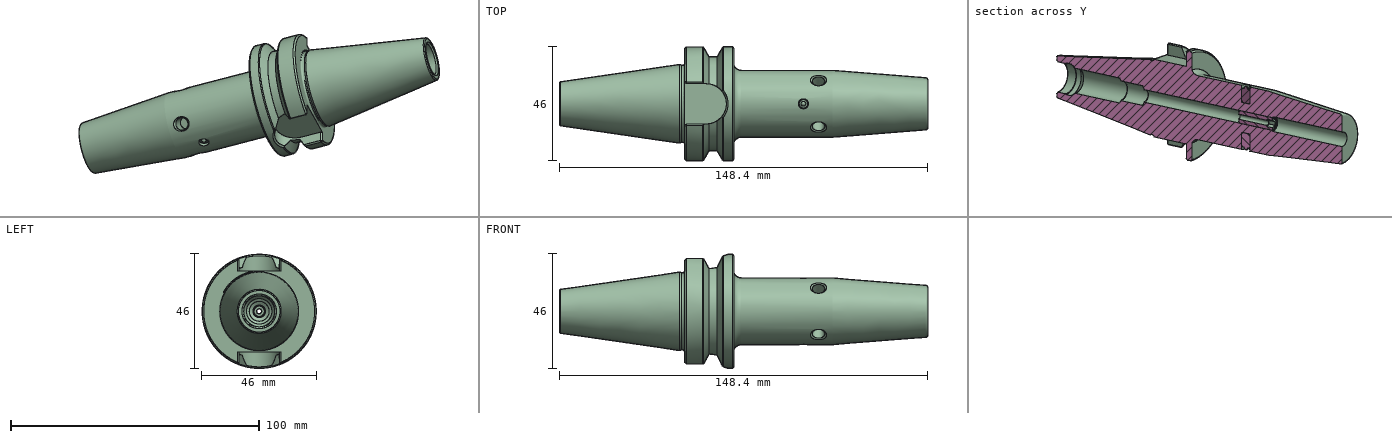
import cadquery as cq
import math

overall_length = 148.4

gauge_position = 48.4
gauge_diameter = 31.8
taper_ratio = 7 / 24
shank_diameter = gauge_diameter - taper_ratio * gauge_position
neck_start = 49.1
neck_diameter = 31.2
neck_fillet = 0.7
shank_chamfer = 0.5

flange_start = 50.5
flange_end = 70.3
flange_diameter = 46.0
flange_chamfer = 0.67
groove_center = 61.9
groove_floor_width = 3.3
groove_floor_diameter = 38.0
groove_flank_angle = 30.0
groove_lip_bevel = 0.3

slot_width = 16.2
slot_floor_height = 16.3
slot_end = 67.2

body_diameter = 27.0
root_height = 1.8
root_length = 3.0
nose_start = 110.0
nose_diameter = 20.9
nose_fillet = 1.0
tool_bore_diameter = 6.0
tool_bore_depth = 36.0

mouth_diameter = 14.0
mouth_depth = 0.6
pilot_diameter = 12.5
relief_diameter = 13.0
relief_start = 4.9
relief_end = 7.4
relief_cone_end = 9.8
thread_diameter = 10.2
thread_end = 32.6
drill_diameter = 8.0
drill_end = 44.5
drill_tip_angle = 59.0

adjusting_diameter = 5.0
adjusting_length = 17.8
adjusting_chamfer = 0.5
adjusting_socket_width = 2.5
adjusting_socket_depth = 3.0
coolant_diameter = 2.0

balance_position = 104.3
balance_diameter = 5.0
balance_mouth_diameter = 6.5
balance_depth = 8.2
balance_angles = [45.0, 135.0, 225.0, 315.0]

set_screw_position = 98.2
set_screw_diameter = 4.0
set_screw_length = 6.0
set_screw_recess = 1.2
set_screw_chamfer = 0.3
set_screw_dome_diameter = 2.0
set_screw_angles = [90.0, 270.0]

body_radius = body_diameter / 2
flange_radius = flange_diameter / 2
rim_tolerance = 0.01


def revolve_about_x(outline):
    return outline.close().revolve(360, (0, 0, 0), (1, 0, 0))


def radial_plane(position, angle):
    """Plane on the axis whose normal points outward, at an angle from +Y toward +Z."""
    turn = math.radians(angle)
    outward = (0, math.cos(turn), math.sin(turn))
    return cq.Plane(origin=(position, 0, 0), xDir=(1, 0, 0), normal=outward)


def reaches_flange_rim(edge):
    """True for an edge whose middle lies on the outer cylinder of the flange."""
    middle = edge.positionAt(0.5)
    return math.hypot(middle.y, middle.z) > flange_radius - rim_tolerance


def make_shank():
    outline = (
        cq.Workplane("XY")
        .moveTo(0, 0)
        .lineTo(0, shank_diameter / 2)
        .lineTo(gauge_position, gauge_diameter / 2)
        .lineTo(neck_start, neck_diameter / 2)
        .lineTo(flange_start, neck_diameter / 2)
        .lineTo(flange_start, 0)
    )
    return revolve_about_x(outline).faces("<X").edges().chamfer(shank_chamfer)


def make_neck_fillet():
    """Ring that blends the neck into the flange face."""
    neck_radius = neck_diameter / 2
    sag = neck_fillet * (1 - math.sqrt(0.5))
    outline = (
        cq.Workplane("XY")
        .moveTo(flange_start - neck_fillet, neck_radius)
        .threePointArc(
            (flange_start - sag, neck_radius + sag), (flange_start, neck_radius + neck_fillet)
        )
        .lineTo(flange_start, neck_radius)
    )
    return revolve_about_x(outline)


def make_drive_slot(side):
    """Cutter for one drive slot: side is 1 for the top and -1 for the bottom."""
    half = slot_width / 2
    return (
        cq.Workplane("XY", origin=(0, 0, side * slot_floor_height))
        .moveTo(flange_start, -half)
        .lineTo(slot_end - half, -half)
        .threePointArc((slot_end, 0), (slot_end - half, half))
        .lineTo(flange_start, half)
        .close()
        .extrude(side * (flange_radius - slot_floor_height))
    )


def make_gripper_groove():
    """Cutter for the V-groove, with a bevel on each lip."""
    floor_radius = groove_floor_diameter / 2
    slope = math.tan(math.radians(groove_flank_angle))
    floor_half = groove_floor_width / 2
    lip_half = floor_half + (flange_radius - floor_radius) * slope
    bevel_radius = flange_radius - groove_lip_bevel
    bevel_half = lip_half - groove_lip_bevel * slope
    outer_half = lip_half + groove_lip_bevel
    outline = (
        cq.Workplane("XY")
        .moveTo(groove_center - outer_half, flange_radius)
        .lineTo(groove_center - bevel_half, bevel_radius)
        .lineTo(groove_center - floor_half, floor_radius)
        .lineTo(groove_center + floor_half, floor_radius)
        .lineTo(groove_center + bevel_half, bevel_radius)
        .lineTo(groove_center + outer_half, flange_radius)
    )
    return revolve_about_x(outline)


def make_flange():
    flange = (
        cq.Workplane("YZ", origin=(flange_start, 0, 0))
        .circle(flange_radius)
        .extrude(flange_end - flange_start)
    )
    for side in (1, -1):
        flange = flange.cut(make_drive_slot(side))
    wall_edges = flange.faces("<X").edges("|Z")
    rim_edges = flange.faces("%CYLINDER").edges("not |Z").filter(reaches_flange_rim)
    flange = flange.newObject(wall_edges.vals() + rim_edges.vals()).chamfer(flange_chamfer)
    return flange.cut(make_gripper_groove())


def make_tool_body():
    """Body and tapered nose, with the concave root behind the flange."""
    root_radius = (root_length**2 + root_height**2) / (2 * root_height)
    root_end = flange_end + root_length
    half_turn = math.asin(root_length / root_radius) / 2
    root_middle = (
        root_end - root_radius * math.sin(half_turn),
        body_radius + root_radius * (1 - math.cos(half_turn)),
    )
    outline = (
        cq.Workplane("XY")
        .moveTo(flange_end, 0)
        .lineTo(flange_end, body_radius + root_height)
        .threePointArc(root_middle, (root_end, body_radius))
        .lineTo(nose_start, body_radius)
        .lineTo(overall_length, nose_diameter / 2)
        .lineTo(overall_length, 0)
    )
    return revolve_about_x(outline).faces(">X").edges().fillet(nose_fillet)


def make_axial_bore():
    """Stepped bore from the shank mouth through to the nose."""
    tip_slope = math.tan(math.radians(drill_tip_angle))
    thread_tip = (thread_diameter - drill_diameter) / 2 / tip_slope
    drill_tip = (drill_diameter - adjusting_diameter) / 2 / tip_slope
    tool_bore_start = overall_length - tool_bore_depth
    outline = (
        cq.Workplane("XY")
        .moveTo(0, 0)
        .lineTo(0, mouth_diameter / 2)
        .lineTo(mouth_depth, pilot_diameter / 2)
        .lineTo(relief_start, pilot_diameter / 2)
        .lineTo(relief_start, relief_diameter / 2)
        .lineTo(relief_end, relief_diameter / 2)
        .lineTo(relief_cone_end, thread_diameter / 2)
        .lineTo(thread_end, thread_diameter / 2)
        .lineTo(thread_end + thread_tip, drill_diameter / 2)
        .lineTo(drill_end, drill_diameter / 2)
        .lineTo(drill_end + drill_tip, adjusting_diameter / 2)
        .lineTo(tool_bore_start, adjusting_diameter / 2)
        .lineTo(tool_bore_start, tool_bore_diameter / 2)
        .lineTo(overall_length, tool_bore_diameter / 2)
        .lineTo(overall_length, 0)
    )
    return revolve_about_x(outline)


def make_balance_hole(angle):
    """Cutter for one balancing hole with a 45 degree countersink."""
    countersink = (balance_mouth_diameter - balance_diameter) / 2
    plane = radial_plane(balance_position, angle)
    hole = (
        cq.Workplane(plane)
        .workplane(offset=body_radius - balance_depth)
        .circle(balance_diameter / 2)
        .extrude(balance_depth)
    )
    sink = (
        cq.Workplane(plane)
        .workplane(offset=body_radius - countersink)
        .circle(balance_diameter / 2)
        .workplane(offset=countersink)
        .circle(balance_mouth_diameter / 2)
        .loft()
    )
    return hole.union(sink)


def make_set_screw_hole(angle):
    depth = set_screw_recess + set_screw_length
    return (
        cq.Workplane(radial_plane(set_screw_position, angle))
        .workplane(offset=body_radius - depth)
        .circle(set_screw_diameter / 2)
        .extrude(depth)
    )


def make_housing():
    housing = make_shank().union(make_neck_fillet()).union(make_flange()).union(make_tool_body())
    housing = housing.cut(make_axial_bore())
    for angle in balance_angles:
        housing = housing.cut(make_balance_hole(angle))
    for angle in set_screw_angles:
        housing = housing.cut(make_set_screw_hole(angle))
    return housing


def make_adjusting_screw():
    front = overall_length - tool_bore_depth
    screw = (
        cq.Workplane("YZ", origin=(front - adjusting_length, 0, 0))
        .circle(adjusting_diameter / 2)
        .extrude(adjusting_length)
        .faces("<X or >X")
        .chamfer(adjusting_chamfer)
    )
    coolant_hole = (
        cq.Workplane("YZ", origin=(front - adjusting_length, 0, 0))
        .circle(coolant_diameter / 2)
        .extrude(adjusting_length)
    )
    socket = (
        cq.Workplane("YZ", origin=(front - adjusting_socket_depth, 0, 0))
        .polygon(6, adjusting_socket_width, circumscribed=True)
        .extrude(adjusting_socket_depth)
    )
    return screw.cut(coolant_hole).cut(socket)


def make_set_screw(angle):
    plane = radial_plane(set_screw_position, angle)
    shank = (
        cq.Workplane(plane)
        .workplane(offset=body_radius - set_screw_recess)
        .circle(set_screw_diameter / 2)
        .extrude(-set_screw_length)
    )
    dome = (
        cq.Workplane(plane)
        .workplane(offset=body_radius - set_screw_recess)
        .sphere(set_screw_dome_diameter / 2)
    )
    return shank.edges("%CIRCLE").chamfer(set_screw_chamfer).union(dome)


housing = make_housing()
adjusting_screw = make_adjusting_screw()
set_screws = [make_set_screw(angle) for angle in set_screw_angles]

result = cq.Compound.makeCompound(
    [housing.val(), adjusting_screw.val(), *[screw.val() for screw in set_screws]]
)